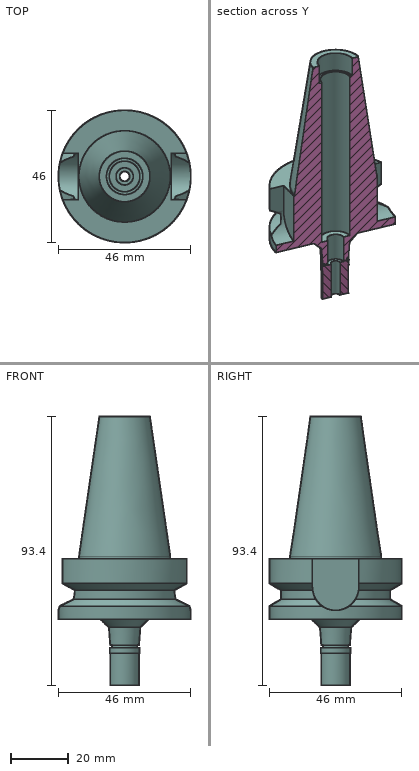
import cadquery as cq

TOTAL_HEIGHT = 93.4
NUT_COLLAR_BOTTOM = 11.2
NUT_TOP = 13.2
NOSE_BOTTOM = 14.0
NOSE_TOP = 20.2
FLANGE_BOTTOM = 23.0
LOWER_RIM_TOP = 27.55
GROOVE_CHAMFER_HEIGHT = 2.3
UPPER_RIM_BOTTOM = 35.4
FLANGE_TOP = 44.0
TAPER_BOTTOM = 44.9

FLANGE_DIAMETER = 46.0
FLANGE_RADIUS = FLANGE_DIAMETER / 2
GRIP_GROOVE_RADIUS = 19.1
GAUGE_RADIUS = 15.9
TAPER_RATIO = 7 / 24
TAPER_TOP_RADIUS = GAUGE_RADIUS - (TOTAL_HEIGHT - TAPER_BOTTOM) * TAPER_RATIO / 2
FLARE_TOP_RADIUS = 8.4
NOSE_TOP_RADIUS = 5.5
NOSE_BOTTOM_RADIUS = 5.0
NECK_RADIUS = 4.4

ENTRY_BORE_DIAMETER = 12.6
ENTRY_BORE_RADIUS = ENTRY_BORE_DIAMETER / 2
ENTRY_BORE_DEPTH = 6.9
MAIN_BORE_RADIUS = 5.3
MAIN_BORE_BOTTOM = FLANGE_BOTTOM
NOSE_BORE_RADIUS = 3.0

SLOT_HALF_WIDTH = 8.0
SLOT_BOTTOM = 26.1
SLOT_FLOOR_X = 16.2

NUT_RADIUS = 5.0
NUT_COLLAR_RADIUS = 5.2
NUT_BORE_RADIUS = 1.7


def revolve_profile(points):
    """Turn a closed (radius, height) outline around the Z axis."""
    return cq.Workplane("XZ").polyline(points).close().revolve(360, (0, 0, 0), (0, 1, 0))


def make_drive_slot():
    """Round-bottomed cutter on the +X side, open to the top of the flange."""
    arc_center = SLOT_BOTTOM + SLOT_HALF_WIDTH
    return (
        cq.Workplane("YZ", origin=(SLOT_FLOOR_X, 0, 0))
        .moveTo(-SLOT_HALF_WIDTH, FLANGE_TOP)
        .lineTo(-SLOT_HALF_WIDTH, arc_center)
        .threePointArc((0, SLOT_BOTTOM), (SLOT_HALF_WIDTH, arc_center))
        .lineTo(SLOT_HALF_WIDTH, FLANGE_TOP)
        .close()
        .extrude(FLANGE_RADIUS)
    )


def make_holder():
    """Taper shank, gripper flange and nose, with the stepped bore and drive slots."""
    entry_bore_bottom = TOTAL_HEIGHT - ENTRY_BORE_DEPTH
    outside = [
        (NECK_RADIUS, NUT_TOP),
        (NECK_RADIUS, NOSE_BOTTOM),
        (NOSE_BOTTOM_RADIUS, NOSE_BOTTOM),
        (NOSE_TOP_RADIUS, NOSE_TOP),
        (FLARE_TOP_RADIUS, FLANGE_BOTTOM),
        (FLANGE_RADIUS, FLANGE_BOTTOM),
        (FLANGE_RADIUS, LOWER_RIM_TOP),
        (GRIP_GROOVE_RADIUS, LOWER_RIM_TOP + GROOVE_CHAMFER_HEIGHT),
        (GRIP_GROOVE_RADIUS, UPPER_RIM_BOTTOM - GROOVE_CHAMFER_HEIGHT),
        (FLANGE_RADIUS, UPPER_RIM_BOTTOM),
        (FLANGE_RADIUS, FLANGE_TOP),
        (GAUGE_RADIUS, FLANGE_TOP),
        (GAUGE_RADIUS, TAPER_BOTTOM),
        (TAPER_TOP_RADIUS, TOTAL_HEIGHT),
    ]
    bore = [
        (ENTRY_BORE_RADIUS, TOTAL_HEIGHT),
        (ENTRY_BORE_RADIUS, entry_bore_bottom),
        (MAIN_BORE_RADIUS, entry_bore_bottom),
        (MAIN_BORE_RADIUS, MAIN_BORE_BOTTOM),
        (NOSE_BORE_RADIUS, MAIN_BORE_BOTTOM),
        (NOSE_BORE_RADIUS, NUT_TOP),
    ]
    body = revolve_profile(outside + bore)
    slot = make_drive_slot()
    return body.cut(slot).cut(slot.mirror("YZ"))


def make_nut():
    """Slim clamping nut with a collar at its upper end and a through bore."""
    return revolve_profile([
        (NUT_BORE_RADIUS, 0),
        (NUT_RADIUS, 0),
        (NUT_RADIUS, NUT_COLLAR_BOTTOM),
        (NUT_COLLAR_RADIUS, NUT_COLLAR_BOTTOM),
        (NUT_COLLAR_RADIUS, NUT_TOP),
        (NUT_BORE_RADIUS, NUT_TOP),
    ])


holder = make_holder()
nut = make_nut()

result = cq.Compound.makeCompound([holder.solids().val(), nut.val()])